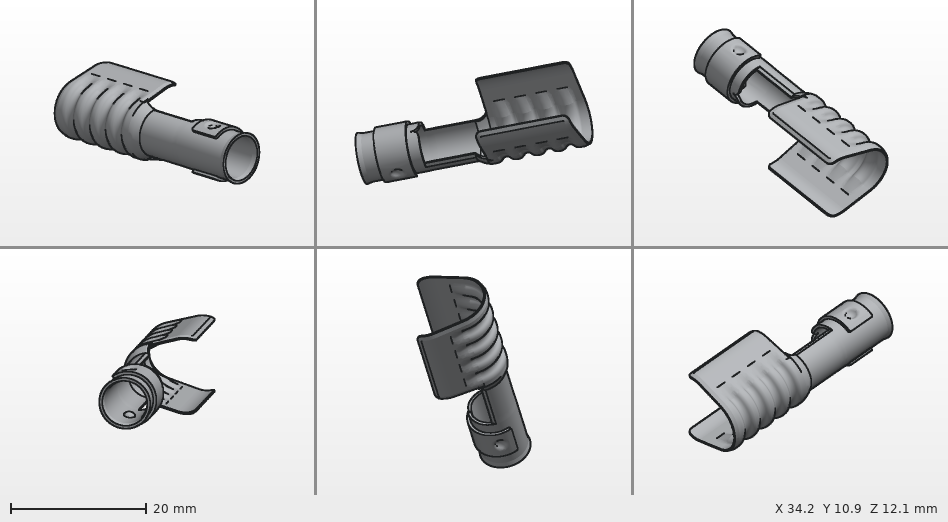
import cadquery as cq
import math

wall = 0.47
total_length = 34.22

sleeve_end = 15.17
sleeve_radius = 4.72
sleeve_bottom = -4.32
sleeve_axis_y = sleeve_bottom + sleeve_radius
flank_angle = 16.0
wing_peak = 6.03
knee_radius = 4.1
wing_tip_y = 6.53
mouth_angle = 5.0
wing_corner = 0.95
coin_depth = 0.22
coin_width = 0.75

groove_count = 4
groove_first = 3.02
groove_pitch = 3.25
groove_depth = 0.69
groove_half_width = 1.5
groove_head_length = 2.67
groove_head_power = 4
groove_head_stations = (0, 0.35, 0.65, 0.88, 0.98)
groove_overshoot = 1.5

barrel_radius = 3.69
half_barrel_radius = 3.66
barrel_step_start = 23.48
neck_end = 16.92
neck_middle_bottom = -4.15
barrel_closed_start = 24.64
edge_bevel_drop = 0.62
edge_bevel_width = 0.25
flare_start = 33.37
flare_radius = 3.88
relief_depth = 0.46
seam_corner = 1.1

clip_start = 26.47
clip_end = 31.36
clip_radius = 4.17
clip_tail_y = -2.57
clip_corner = 0.3

dimple_x = (clip_start + clip_end) / 2
dimple_y = -0.5
dimple_depth = 0.7
dimple_radius = 1.0
dimple_bowl_radius = 1.15
dimple_rim = 0.55

margin = 1.0


def sin(angle):
    return math.sin(math.radians(angle))


def cos(angle):
    return math.cos(math.radians(angle))


def mirrored(point):
    """The same (Y, Z) point on the -Z side."""
    return point[0], -point[1]


knee_z = wing_peak - knee_radius
knee_y = sleeve_axis_y + (knee_z * cos(flank_angle) + knee_radius - sleeve_radius) / sin(flank_angle)
tip_angle = math.degrees(math.asin((wing_tip_y - knee_y) / (knee_radius - coin_depth)))


def bottom_point(angle, radius):
    """(Y, Z) on the bottom arc; the angle runs from +Z toward -Y."""
    return sleeve_axis_y - radius * sin(angle), radius * cos(angle)


def knee_point(angle, radius):
    """(Y, Z) on the knee arc; the angle runs from +Z toward +Y."""
    return knee_y + radius * sin(angle), knee_z + radius * cos(angle)


def upper_wing():
    """Upper half of the bent sheet, with its leaning mouth and coined edges."""
    inner_radius = sleeve_radius - wall
    inner_knee = knee_radius - wall
    middle_angle = (90 + flank_angle) / 2
    wing = (
        cq.Workplane("YZ")
        .moveTo(sleeve_bottom, 0)
        .threePointArc(bottom_point(middle_angle, sleeve_radius), bottom_point(flank_angle, sleeve_radius))
        .lineTo(*knee_point(-flank_angle, knee_radius))
        .threePointArc(knee_point(0, knee_radius), knee_point(tip_angle, knee_radius))
        .lineTo(*knee_point(tip_angle, inner_knee))
        .threePointArc(knee_point(0, inner_knee), knee_point(-flank_angle, inner_knee))
        .lineTo(*bottom_point(flank_angle, inner_radius))
        .threePointArc(bottom_point(middle_angle, inner_radius), (sleeve_bottom + wall, 0))
        .close()
        .extrude(sleeve_end + margin)
        .translate((-margin, 0, 0))
    )
    height = 2 * (wing_tip_y - sleeve_bottom)
    mouth_start = -coin_depth * math.tan(math.radians(mouth_angle))
    mouth = (
        cq.Workplane("XY")
        .moveTo(mouth_start, sleeve_bottom)
        .lineTo(mouth_start + height * math.tan(math.radians(mouth_angle)), sleeve_bottom + height)
        .lineTo(-margin, sleeve_bottom + height)
        .lineTo(-margin, sleeve_bottom)
        .close()
        .extrude(2 * wing_peak, both=True)
    )
    wing = wing.cut(mouth)
    wing = wing.faces(">Y").edges("not |X").fillet(wing_corner)
    return wing.edges(">Y").chamfer(coin_width, coin_depth)


def groove_section(plane, half_width, depth, offset):
    """Closed section of a groove: two crest arcs tangent to a floor arc, open to the outside.

    Local X runs across the groove and local Y points out of the sheet from its outer face.
    The offset moves the curve inward, to the matching face of the bulge on the inside.
    """
    arc_radius = (half_width**2 + depth**2) / (4 * depth)
    turn = math.degrees(math.asin(half_width / (2 * arc_radius)))
    crest_arc = arc_radius - offset
    floor_arc = arc_radius + offset
    floor = -depth - offset
    joint = floor_arc * sin(turn), floor + floor_arc * (1 - cos(turn))
    crest_middle = half_width - crest_arc * sin(turn / 2), -offset - crest_arc * (1 - cos(turn / 2))
    return (
        plane.moveTo(-half_width, groove_overshoot)
        .lineTo(-half_width, -offset)
        .threePointArc((-crest_middle[0], crest_middle[1]), (-joint[0], joint[1]))
        .threePointArc((0, floor), joint)
        .threePointArc(crest_middle, (half_width, -offset))
        .lineTo(half_width, groove_overshoot)
        .close()
    )


def groove_head(offset):
    """End of a groove on the upper flank: it gets shallower and rounds off in width."""
    start_y, start_z = bottom_point(flank_angle, sleeve_radius)
    wires = []
    for fraction in groove_head_stations:
        along = fraction * groove_head_length
        origin = (0, start_y + along * cos(flank_angle), start_z + along * sin(flank_angle))
        normal = (0, -cos(flank_angle), -sin(flank_angle))
        plane = cq.Workplane(cq.Plane(origin=origin, xDir=(1, 0, 0), normal=normal))
        half_width = groove_half_width * (1 - fraction**groove_head_power) ** (1 / groove_head_power)
        depth = groove_depth * (1 - fraction)
        wires.append(groove_section(plane, half_width, depth, offset).wire().val())
    return cq.Workplane(cq.Solid.makeLoft(wires))


def groove_ring(offset):
    """One groove, centred on X = 0: a ring round the bottom arc and a head on each flank."""
    wrap_angle = 180 - 2 * flank_angle
    axis_level = -sleeve_radius
    ring = (
        groove_section(cq.Workplane("XY"), groove_half_width, groove_depth, offset)
        .revolve(wrap_angle, (0, axis_level, 0), (1, axis_level, 0))
        .translate((0, sleeve_radius, 0))
        .rotate((0, 0, 0), (1, 0, 0), 180 - wrap_angle / 2)
        .translate((0, sleeve_axis_y, 0))
    )
    head = groove_head(offset)
    return ring.union(head).union(head.mirror("XY"))


def grooved_sleeve():
    """Both wings, with every groove pressed into the outside and bulging on the inside."""
    upper = upper_wing()
    sleeve = upper.union(upper.mirror("XY"))
    outer_cut = groove_ring(0)
    inner_skin = groove_ring(wall)
    inside = sleeve_inside()
    for index in range(groove_count):
        position = (groove_first + index * groove_pitch, 0, 0)
        bulge = inner_skin.translate(position).intersect(inside)
        sleeve = sleeve.union(bulge)
        sleeve = sleeve.cut(outer_cut.translate(position))
    return sleeve


def sleeve_inside():
    """Space between the wings, up to their inner faces."""
    inner_radius = sleeve_radius - wall
    inner_knee = knee_radius - wall
    top = knee_point(-flank_angle, inner_knee)
    side = bottom_point(flank_angle, inner_radius)
    return (
        cq.Workplane("YZ")
        .moveTo(*top)
        .lineTo(*side)
        .threePointArc((sleeve_bottom + wall, 0), mirrored(side))
        .lineTo(*mirrored(top))
        .close()
        .extrude(sleeve_end)
    )


def barrel_edge(radius):
    """(Y, Z) where the bevel of the half shell meets a barrel surface."""
    return -edge_bevel_drop, math.sqrt(radius**2 - edge_bevel_drop**2)


def half_section(plane, bottom_y, side, top_z):
    """Closed lower half of a round section, with nearly upright sides up to Y = 0."""
    return (
        plane.moveTo(*side)
        .threePointArc((bottom_y, 0), mirrored(side))
        .lineTo(0, -top_z)
        .lineTo(0, top_z)
        .close()
    )


def neck_solid(inset, bevel_width):
    """Domed half cone from the sleeve's bottom arc to the lower barrel, smaller all round by the inset."""
    sleeve_side = bottom_point(flank_angle, sleeve_radius - inset)
    sleeve_top = sleeve_side[1] - sleeve_side[0] * math.tan(math.radians(flank_angle))
    barrel_side = barrel_edge(half_barrel_radius - inset)
    barrel_top = half_barrel_radius - inset - bevel_width
    middle_side = (sleeve_side[0] + barrel_side[0]) / 2, (sleeve_side[1] + barrel_side[1]) / 2
    stations = [
        (sleeve_end, sleeve_bottom + inset, sleeve_side, sleeve_top),
        ((sleeve_end + neck_end) / 2, neck_middle_bottom + inset, middle_side, (sleeve_top + barrel_top) / 2),
        (neck_end, -half_barrel_radius + inset, barrel_side, barrel_top),
    ]
    wires = []
    for x, bottom_y, side, top_z in stations:
        plane = cq.Workplane("YZ", origin=(x, 0, 0))
        wires.append(half_section(plane, bottom_y, side, top_z).wire().val())
    return cq.Workplane(cq.Solid.makeLoft(wires))


def collar():
    """Full-thickness band of the bottom arc, filling the coined edge where the neck joins the sleeve."""
    inner_radius = sleeve_radius - wall
    outer_side = bottom_point(flank_angle, sleeve_radius)
    inner_side = bottom_point(flank_angle, inner_radius)
    return (
        cq.Workplane("YZ", origin=(sleeve_end - coin_width, 0, 0))
        .moveTo(*outer_side)
        .threePointArc((sleeve_bottom, 0), mirrored(outer_side))
        .lineTo(*mirrored(inner_side))
        .threePointArc((sleeve_bottom + wall, 0), inner_side)
        .close()
        .extrude(coin_width)
    )


def neck():
    """Hollow half cone with the round relief beside the wings."""
    middle_x = (sleeve_end + neck_end) / 2
    relief = (
        cq.Workplane("XY")
        .moveTo(sleeve_end, 0)
        .threePointArc((middle_x, -relief_depth), (neck_end, 0))
        .close()
        .extrude(2 * sleeve_radius, both=True)
    )
    return neck_solid(0, edge_bevel_width).cut(neck_solid(wall, 0)).cut(relief)


def barrel():
    """Half shell, then a closed tube with a flared end."""
    tube = (
        cq.Workplane("XY")
        .moveTo(neck_end, half_barrel_radius)
        .lineTo(barrel_step_start, half_barrel_radius)
        .lineTo(barrel_closed_start, barrel_radius)
        .lineTo(flare_start, barrel_radius)
        .lineTo(total_length, flare_radius)
        .lineTo(total_length, flare_radius - wall)
        .lineTo(flare_start, barrel_radius - wall)
        .lineTo(barrel_closed_start, barrel_radius - wall)
        .lineTo(barrel_step_start, half_barrel_radius - wall)
        .lineTo(neck_end, half_barrel_radius - wall)
        .close()
        .revolve(360, (0, 0, 0), (1, 0, 0))
    )
    half_length = barrel_closed_start - neck_end
    open_side = (
        cq.Workplane("XY")
        .box(half_length, 2 * barrel_radius, 4 * barrel_radius, centered=(False, False, True))
        .translate((neck_end, 0, 0))
    )
    tube = tube.cut(open_side)
    bevel = (
        cq.Workplane("YZ", origin=(neck_end, 0, 0))
        .moveTo(*barrel_edge(half_barrel_radius))
        .lineTo(0, half_barrel_radius - edge_bevel_width)
        .lineTo(0, barrel_radius + margin)
        .lineTo(-edge_bevel_drop, barrel_radius + margin)
        .close()
        .extrude(half_length)
    )
    tube = tube.cut(bevel).cut(bevel.mirror("XY"))
    notch_half = (
        cq.Workplane("XZ")
        .moveTo(barrel_closed_start, 0)
        .lineTo(barrel_closed_start, seam_corner)
        .radiusArc((barrel_closed_start + seam_corner, 0), -seam_corner)
        .close()
        .extrude(-2 * barrel_radius)
    )
    return tube.cut(notch_half).cut(notch_half.mirror("XY"))


def dimple_ball(radius, lowest_z):
    """Ball above the axis, reaching down to the given Z, and its mirror image below."""
    upper = cq.Workplane("XY").sphere(radius).translate((dimple_x, dimple_y, lowest_z + radius))
    return upper.union(upper.mirror("XY"))


barrel_bore = barrel_radius - wall
inner_dimple = dimple_ball(dimple_radius, barrel_bore - dimple_depth)
middle_dimple = dimple_ball(dimple_radius, barrel_radius - dimple_depth)
outer_dimple = dimple_ball(dimple_bowl_radius, clip_radius - dimple_depth)


def cylinder(radius):
    return cq.Workplane("YZ").circle(radius).extrude(total_length)


def make_terminal():
    """Crimp sleeve, neck and barrel in one piece, with a dimple pocket on each side."""
    terminal = grooved_sleeve().union(collar()).union(neck()).union(barrel())
    bumps = inner_dimple.intersect(cylinder(barrel_radius))
    return terminal.union(bumps).cut(middle_dimple)


def make_clip():
    """Open band snapped over the barrel, with a dimple pressed in on each side."""
    tail_angle = math.degrees(math.asin(-clip_tail_y / clip_radius))
    sweep_angle = 180 + 2 * tail_angle
    ring = (
        cq.Workplane("XY")
        .moveTo(clip_start, barrel_radius)
        .lineTo(clip_end, barrel_radius)
        .lineTo(clip_end, clip_radius)
        .lineTo(clip_start, clip_radius)
        .close()
        .revolve(sweep_angle, (0, 0, 0), (1, 0, 0))
        .rotate((0, 0, 0), (1, 0, 0), -sweep_angle / 2)
    )
    ring = ring.faces("<Y").edges("not |X").fillet(clip_corner)
    clip = ring.union(middle_dimple.intersect(cylinder(clip_radius))).cut(outer_dimple)
    rim_floor = (barrel_radius + clip_radius) / 2
    reach = dimple_bowl_radius
    for low, high in ((rim_floor, clip_radius + margin), (-clip_radius - margin, -rim_floor)):
        near_rim = cq.selectors.BoxSelector(
            (dimple_x - reach, dimple_y - reach, low), (dimple_x + reach, dimple_y + reach, high)
        )
        clip = clip.edges(near_rim).fillet(dimple_rim)
    return clip


terminal = make_terminal()
clip = make_clip()
result = cq.Compound.makeCompound([terminal.solids().val(), clip.solids().val()])